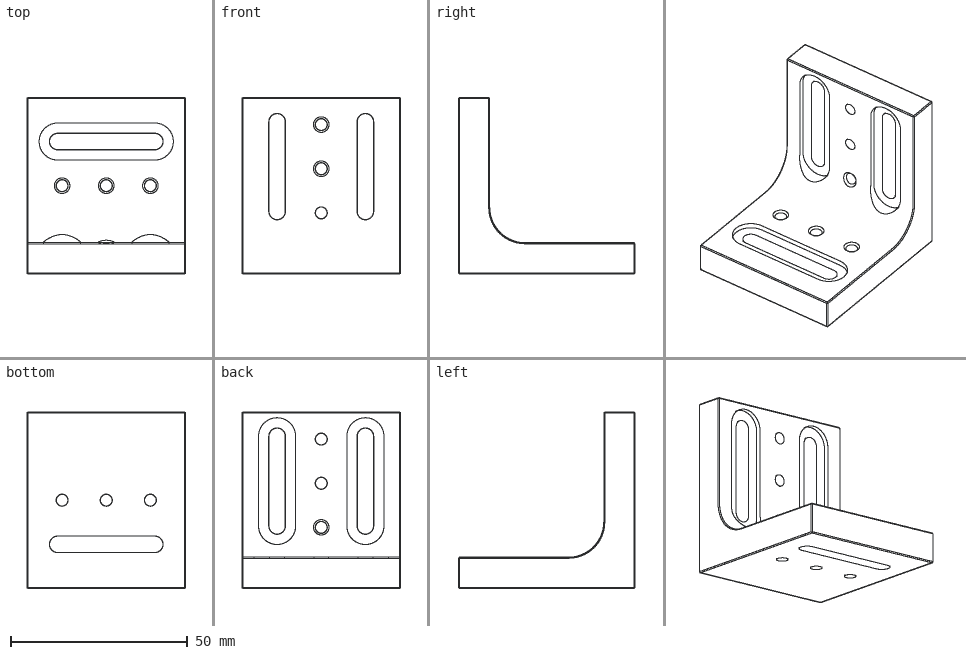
import cadquery as cq
width = 45.0
leg_length = 50.0
thickness = 8.85
corner_radius = 10.0
edge_chamfer = 0.3

slot_width = 4.6
recess_width = 10.5
recess_depth = 1.5
base_slot_travel = 27.5
base_slot_y = 37.5
wall_slot_travel = 25.4
wall_slot_z = 30.4

hole_pitch = 12.5
hole_diameter = 3.3
countersink_diameter = 4.4
countersink_depth = (countersink_diameter - hole_diameter) / 2
base_hole_y = 25.0
middle_wall_hole_z = 29.8
upper_wall_hole_z = middle_wall_hole_z + hole_pitch
lower_wall_hole_z = middle_wall_hole_z - hole_pitch

radius_end = thickness + corner_radius


def bracket_body():
    """L-shaped body with a rounded inner corner and chamfered outer edges."""
    body = (
        cq.Workplane("YZ")
        .moveTo(0, 0)
        .lineTo(leg_length, 0)
        .lineTo(leg_length, thickness)
        .lineTo(radius_end, thickness)
        .radiusArc((thickness, radius_end), corner_radius)
        .lineTo(thickness, leg_length)
        .lineTo(0, leg_length)
        .close()
        .extrude(width / 2, both=True)
    )
    side_edges = body.faces("<X or >X").edges()
    long_edges = body.faces("<Y or >Y or <Z or >Z").edges("|X")
    return side_edges.add(long_edges).chamfer(edge_chamfer)


def recessed_slot(inner_plane, travel, angle):
    """Through slot and its recess; the plane lies on the inner face and its normal leaves the leg."""
    slot = (
        cq.Workplane(inner_plane)
        .slot2D(travel + slot_width, slot_width, angle)
        .extrude(-thickness)
    )
    recess = (
        cq.Workplane(inner_plane)
        .workplane(offset=-recess_depth)
        .slot2D(travel + recess_width, recess_width, angle)
        .extrude(recess_depth + corner_radius)
    )
    return slot.union(recess)


def drill(start, direction, depth):
    """Plain hole from a start point along a direction."""
    hole = cq.Solid.makeCylinder(hole_diameter / 2, depth, cq.Vector(*start), cq.Vector(*direction))
    return cq.Workplane(hole)


def countersunk_hole(start, direction):
    """Hole through one leg, countersunk at its start point."""
    cone = cq.Solid.makeCone(
        countersink_diameter / 2,
        hole_diameter / 2,
        countersink_depth,
        cq.Vector(*start),
        cq.Vector(*direction),
    )
    return drill(start, direction, thickness).union(cq.Workplane(cone))


bracket = bracket_body()

base_slot_plane = cq.Plane((0, base_slot_y, thickness), xDir=(1, 0, 0), normal=(0, 0, 1))
bracket = bracket.cut(recessed_slot(base_slot_plane, base_slot_travel, 0))

for x in (-hole_pitch, hole_pitch):
    wall_slot_plane = cq.Plane((x, thickness, wall_slot_z), xDir=(1, 0, 0), normal=(0, 1, 0))
    bracket = bracket.cut(recessed_slot(wall_slot_plane, wall_slot_travel, 90))

for x in (-hole_pitch, 0, hole_pitch):
    bracket = bracket.cut(countersunk_hole((x, base_hole_y, thickness), (0, 0, -1)))

for z in (middle_wall_hole_z, upper_wall_hole_z):
    bracket = bracket.cut(countersunk_hole((0, 0, z), (0, 1, 0)))

bracket = bracket.cut(drill((0, 0, lower_wall_hole_z), (0, 1, 0), radius_end))
breakout_region = cq.selectors.BoxSelector(
    (-hole_diameter, thickness / 2, lower_wall_hole_z - hole_diameter),
    (hole_diameter, radius_end, lower_wall_hole_z + hole_diameter),
)
breakout_edges = bracket.edges(breakout_region).edges("not %LINE")
result = breakout_edges.chamfer(countersink_depth)